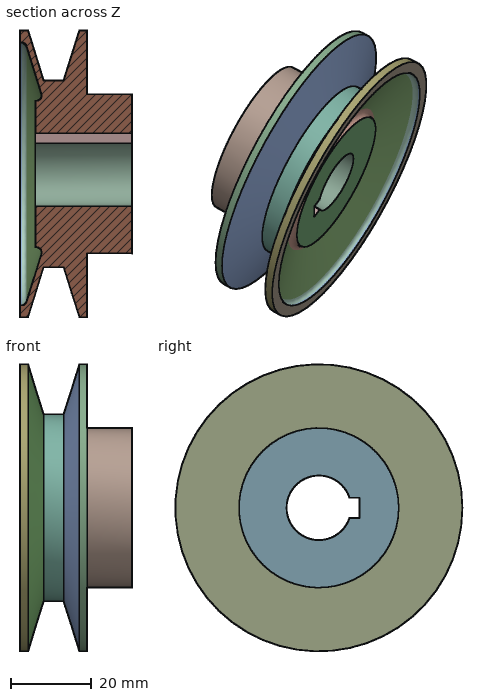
import cadquery as cq

total_length = 27.8
outer_radius = 35.55

sheave_width = 16.65
left_rim_width = 2.05
right_rim_width = 1.9
groove_floor_radius = 23.2
groove_floor_start = 5.9
groove_floor_end = 10.8

hub_radius = 19.8
bore_radius = 8.0
keyway_width = 5.0
keyway_depth_radius = 10.0

recess_radius = 32.5
recess_edge_depth = 1.35
boss_radius = 18.15
boss_setback = 3.85
rim_fillet = 1.15
boss_fillet = 1.3

flank_slope = (groove_floor_start - left_rim_width) / (outer_radius - groove_floor_radius)
recess_root_depth = recess_edge_depth + flank_slope * (recess_radius - boss_radius)


def revolved_body():
    """Revolve the half section, drawn as (axial position, radius)."""
    section = [
        (boss_setback, 0),
        (boss_setback, boss_radius),
        (recess_root_depth, boss_radius),
        (recess_edge_depth, recess_radius),
        (0, recess_radius),
        (0, outer_radius),
        (left_rim_width, outer_radius),
        (groove_floor_start, groove_floor_radius),
        (groove_floor_end, groove_floor_radius),
        (sheave_width - right_rim_width, outer_radius),
        (sheave_width, outer_radius),
        (sheave_width, hub_radius),
        (total_length, hub_radius),
        (total_length, 0),
    ]
    return cq.Workplane("XY").polyline(section).close().revolve(360, (0, 0, 0), (1, 0, 0))


def fillet_circle(body, axial_position, radius):
    """Round the full circular edge lying in one plane across the axis."""
    tolerance = 0.01
    half_box = outer_radius + 0.7
    edge_slice = cq.selectors.BoxSelector(
        (axial_position - tolerance, -half_box, -half_box),
        (axial_position + tolerance, half_box, half_box),
        boundingbox=True,
    )
    return body.edges(edge_slice).fillet(radius)


def bore_with_keyway():
    bore = cq.Workplane("YZ").circle(bore_radius).extrude(total_length)
    keyway = cq.Workplane("XY").box(
        total_length, keyway_depth_radius, keyway_width, centered=(False, False, True)
    )
    return bore.union(keyway)


body = revolved_body()
body = fillet_circle(body, recess_edge_depth, rim_fillet)
body = fillet_circle(body, recess_root_depth, boss_fillet)
result = body.cut(bore_with_keyway())